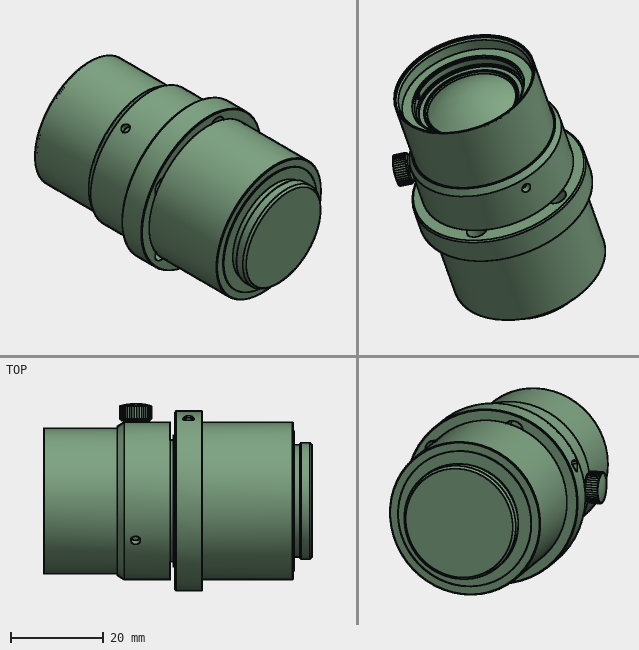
import cadquery as cq
import math


RING_FRONT = 15.9
RING_REAR = 27.3
FLANGE_FRONT = 28.3
FLANGE_REAR = 34.25
BODY_REAR = 53.85
COLLAR_REAR = 54.15
THREAD_FRONT = 55.3
TOTAL_LENGTH = 58.0

BARREL_RADIUS = 15.75
RING_EDGE_RADIUS = 16.1
BODY_RADIUS = 17.05
NECK_RADIUS = 13.2
SHOULDER_RADIUS = 14.25
FLANGE_RADIUS = 19.5
COLLAR_RADIUS = 15.1
UNDERCUT_RADIUS = 12.2
THREAD_RADIUS = 12.65

RING_CHAMFER_LENGTH = 1.45
SHOULDER_LENGTH = 0.3
FLANGE_CHAMFER_FRONT = 0.35
FLANGE_CHAMFER_REAR = 0.2
BODY_CHAMFER = 0.2
THREAD_CHAMFER_FRONT = 0.3
THREAD_CHAMFER_REAR = 0.5

RIM_RADIUS = 15.5
RIM_DEPTH = 0.45
RIM_BEVEL_DEPTH = 0.8
HOOD_RADIUS_FRONT = 15.0
HOOD_RADIUS_REAR = 14.8
HOOD_DEPTH = 3.15
RETAINER_STEP_RADIUS = 12.6
RETAINER_STEP_DEPTH = 3.6
RETAINER_RADIUS = 12.1
RETAINER_DEPTH = 5.15
SEAT_RADIUS = 11.65
SEAT_DEPTH = 5.55
LENS_LIP_RADIUS = 10.6
LENS_LIP_DEPTH = 5.75
LENS_RIM_RADIUS = 10.25
LENS_RADIUS = 9.9
LENS_DEPTH = 6.05
LENS_SAG = 2.9

NOTCH_WIDTH = 1.1
NOTCH_DEPTH = 0.85
NOTCH_ANGLE = 20.0

FLANGE_HOLE_PITCH = 360 / 5
FLANGE_HOLE_COUNT = 4
FLANGE_HOLE_RADIUS = 4.5 / 2
FLANGE_HOLE_CIRCLE = 15.8

SCREW_X = 19.85
SCREW_RADIUS = 2.05 / 2
SCREW_HOLE_DEPTH = 1.75
SCREW_HOLE_ANGLES = (120, 240)

KNOB_RADIUS = 6.9 / 2
KNOB_BASE = 17.4
KNOB_EDGE = 20.6
KNOB_TOP = 21.05
KNOB_CHAMFER_BASE = 0.45
KNOB_CHAMFER_TOP = 0.2
KNURL_COUNT = 40
KNURL_RADIUS = 0.35
KNURL_DEPTH = 0.145

CLAMP_RADIUS = 2.8 / 2
CLAMP_Y = 17.05
CLAMP_BOTTOM = 4.65
CLAMP_TOP = 8.65
CLAMP_CHAMFER = 0.4

flange_middle = (FLANGE_FRONT + FLANGE_REAR) / 2


def make_housing():
    """Revolve the stepped outside together with the front recess and the domed lens."""
    lens_apex = LENS_DEPTH - LENS_SAG
    lens_sphere = (LENS_RADIUS**2 + LENS_SAG**2) / (2 * LENS_SAG)
    mid_radius = LENS_RADIUS / 2
    mid_depth = lens_apex + lens_sphere - math.sqrt(lens_sphere**2 - mid_radius**2)
    profile = (
        cq.Workplane("XY")
        .moveTo(lens_apex, 0)
        .threePointArc((mid_depth, mid_radius), (LENS_DEPTH, LENS_RADIUS))
        .lineTo(LENS_LIP_DEPTH, LENS_RIM_RADIUS)
        .lineTo(LENS_LIP_DEPTH, LENS_LIP_RADIUS)
        .lineTo(SEAT_DEPTH, LENS_LIP_RADIUS)
        .lineTo(SEAT_DEPTH, SEAT_RADIUS)
        .lineTo(RETAINER_DEPTH, SEAT_RADIUS)
        .lineTo(RETAINER_DEPTH, RETAINER_RADIUS)
        .lineTo(RETAINER_STEP_DEPTH, RETAINER_RADIUS)
        .lineTo(RETAINER_STEP_DEPTH, RETAINER_STEP_RADIUS)
        .lineTo(HOOD_DEPTH, RETAINER_STEP_RADIUS)
        .lineTo(HOOD_DEPTH, HOOD_RADIUS_REAR)
        .lineTo(RIM_BEVEL_DEPTH, HOOD_RADIUS_FRONT)
        .lineTo(RIM_DEPTH, RIM_RADIUS)
        .lineTo(0, RIM_RADIUS)
        .lineTo(0, BARREL_RADIUS)
        .lineTo(RING_FRONT, BARREL_RADIUS)
        .lineTo(RING_FRONT, RING_EDGE_RADIUS)
        .lineTo(RING_FRONT + RING_CHAMFER_LENGTH, BODY_RADIUS)
        .lineTo(RING_REAR, BODY_RADIUS)
        .lineTo(RING_REAR, NECK_RADIUS)
        .lineTo(FLANGE_FRONT - SHOULDER_LENGTH, NECK_RADIUS)
        .lineTo(FLANGE_FRONT - SHOULDER_LENGTH, SHOULDER_RADIUS)
        .lineTo(FLANGE_FRONT, SHOULDER_RADIUS)
        .lineTo(FLANGE_FRONT, FLANGE_RADIUS - FLANGE_CHAMFER_FRONT)
        .lineTo(FLANGE_FRONT + FLANGE_CHAMFER_FRONT, FLANGE_RADIUS)
        .lineTo(FLANGE_REAR - FLANGE_CHAMFER_REAR, FLANGE_RADIUS)
        .lineTo(FLANGE_REAR, FLANGE_RADIUS - FLANGE_CHAMFER_REAR)
        .lineTo(FLANGE_REAR, BODY_RADIUS)
        .lineTo(BODY_REAR - BODY_CHAMFER, BODY_RADIUS)
        .lineTo(BODY_REAR, BODY_RADIUS - BODY_CHAMFER)
        .lineTo(BODY_REAR, COLLAR_RADIUS)
        .lineTo(COLLAR_REAR, COLLAR_RADIUS)
        .lineTo(COLLAR_REAR, UNDERCUT_RADIUS)
        .lineTo(THREAD_FRONT, UNDERCUT_RADIUS)
        .lineTo(THREAD_FRONT + THREAD_CHAMFER_FRONT, THREAD_RADIUS)
        .lineTo(TOTAL_LENGTH - THREAD_CHAMFER_REAR, THREAD_RADIUS)
        .lineTo(TOTAL_LENGTH, THREAD_RADIUS - THREAD_CHAMFER_REAR)
        .lineTo(TOTAL_LENGTH, 0)
        .close()
    )
    return profile.revolve(360, (0, 0, 0), (1, 0, 0))


def make_flange_holes():
    """Through holes in the flange and its shoulder, starting one pitch away from +Y."""
    return (
        cq.Workplane("YZ", origin=(FLANGE_FRONT - SHOULDER_LENGTH, 0, 0))
        .polarArray(
            FLANGE_HOLE_CIRCLE,
            FLANGE_HOLE_PITCH,
            FLANGE_HOLE_PITCH * (FLANGE_HOLE_COUNT - 1),
            FLANGE_HOLE_COUNT,
        )
        .circle(FLANGE_HOLE_RADIUS)
        .extrude(FLANGE_REAR - FLANGE_FRONT + SHOULDER_LENGTH)
    )


def make_screw_hole(angle):
    """Blind radial hole, drawn on +Y with room to spare outside the ring, then turned about X."""
    hole_bottom = BODY_RADIUS - SCREW_HOLE_DEPTH
    return (
        cq.Workplane("XZ", origin=(SCREW_X, hole_bottom, 0))
        .circle(SCREW_RADIUS)
        .extrude(-2 * SCREW_HOLE_DEPTH)
        .rotate((0, 0, 0), (1, 0, 0), angle)
    )


def make_spanner_notches():
    """Diametral bar that notches the retaining ring on two opposite sides, clear of the lens."""
    notch_plane = cq.Workplane("YZ", origin=(RETAINER_STEP_DEPTH, 0, 0))
    bar = notch_plane.rect(2 * RETAINER_STEP_RADIUS, NOTCH_WIDTH).extrude(NOTCH_DEPTH)
    core = notch_plane.circle(SEAT_RADIUS).extrude(NOTCH_DEPTH)
    return bar.cut(core).rotate((0, 0, 0), (1, 0, 0), NOTCH_ANGLE)


def make_knob():
    """Domed, knurled knob with its shank, standing on the +Y side of the ring."""
    rim_radius = KNOB_RADIUS - KNOB_CHAMFER_TOP
    dome_height = KNOB_TOP - KNOB_EDGE
    dome_sphere = (rim_radius**2 + dome_height**2) / (2 * dome_height)
    mid_radius = rim_radius / 2
    mid_y = KNOB_TOP - dome_sphere + math.sqrt(dome_sphere**2 - mid_radius**2)
    shank_base = BODY_RADIUS - SCREW_HOLE_DEPTH
    knob = (
        cq.Workplane("XY")
        .moveTo(0, shank_base)
        .lineTo(SCREW_RADIUS, shank_base)
        .lineTo(SCREW_RADIUS, KNOB_BASE)
        .lineTo(KNOB_RADIUS - KNOB_CHAMFER_BASE, KNOB_BASE)
        .lineTo(KNOB_RADIUS, KNOB_BASE + KNOB_CHAMFER_BASE)
        .lineTo(KNOB_RADIUS, KNOB_EDGE - KNOB_CHAMFER_TOP)
        .lineTo(rim_radius, KNOB_EDGE)
        .threePointArc((mid_radius, mid_y), (0, KNOB_TOP))
        .close()
        .revolve(360, (0, 0, 0), (0, 1, 0))
    )
    grooves = (
        cq.Workplane("XZ", origin=(0, KNOB_TOP, 0))
        .polarArray(KNOB_RADIUS - KNURL_DEPTH + KNURL_RADIUS, 0, 360, KNURL_COUNT)
        .circle(KNURL_RADIUS)
        .extrude(KNOB_TOP - KNOB_BASE)
    )
    return knob.cut(grooves).translate((SCREW_X, 0, 0))


def make_clamp_screw():
    """Chamfered screw head that breaks out of the flange rim."""
    return (
        cq.Workplane("XY", origin=(flange_middle, CLAMP_Y, CLAMP_BOTTOM))
        .circle(CLAMP_RADIUS)
        .extrude(CLAMP_TOP - CLAMP_BOTTOM)
        .faces(">Z")
        .chamfer(CLAMP_CHAMFER)
    )


housing = make_housing()
housing = housing.cut(make_flange_holes())
housing = housing.cut(make_spanner_notches())
for hole_angle in SCREW_HOLE_ANGLES:
    housing = housing.cut(make_screw_hole(hole_angle))

result = housing.union(make_knob()).union(make_clamp_screw())